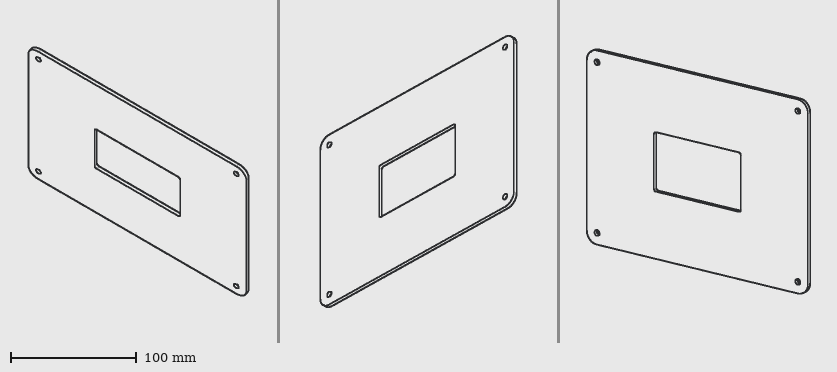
import cadquery as cq

plate_width = 215.5
plate_height = 164.9
plate_thickness = 3.2
corner_radius = 10.0

hole_diameter = 4.7
hole_spacing_x = plate_width - 2 * corner_radius
hole_spacing_z = plate_height - 2 * corner_radius

window_width = 84.5
window_height = 50.5
window_corner_radius = 2.0


def rounded_panel(width, height, radius):
    """Centred panel of the plate's thickness with rounded corners."""
    return cq.Workplane("XY").box(width, plate_thickness, height).edges("|Y").fillet(radius)


plate = rounded_panel(plate_width, plate_height, corner_radius)
window = rounded_panel(window_width, window_height, window_corner_radius)

result = (
    plate.cut(window)
    .faces("<Y")
    .workplane(centerOption="CenterOfBoundBox")
    .rarray(hole_spacing_x, hole_spacing_z, 2, 2)
    .hole(hole_diameter)
)